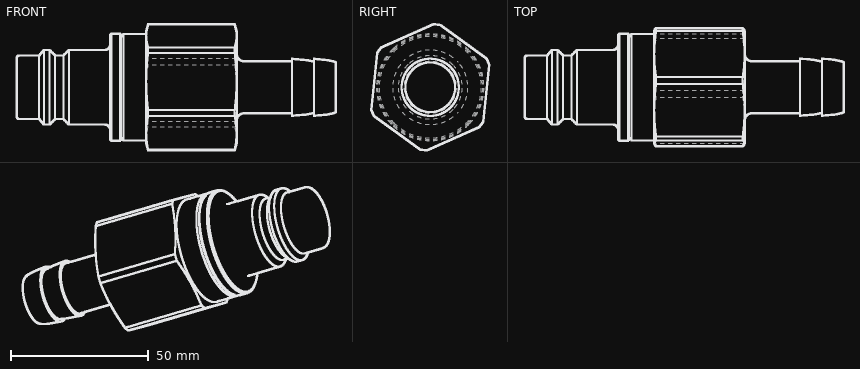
import cadquery as cq
import math

TOTAL_LENGTH = 116.0
RIB_START = 8.2
RIB_TOP_START = 9.9
RIB_TOP_END = 12.0
GROOVE_START = 14.0
GROOVE_END = 17.0
PLUG_BODY_START = 19.0
FLANGE_START = 34.0
FLANGE_END = 38.0
HEX_START = 47.0
HEX_END = 80.0
BARB_STARTS = (100.0, 108.0)

PLUG_TIP_DIAMETER = 23.15
PLUG_BODY_DIAMETER = 27.2
FLANGE_DIAMETER = 39.0
COLLAR_DIAMETER = 38.8
STEM_DIAMETER = 19.0
BARB_DIAMETER = 20.8
BARB_FOOT_DIAMETER = 18.8

TIP_FILLET = 0.9
FLANGE_CHAMFER = 0.5
COLLAR_CHAMFER = 0.9
FLANGE_FILLET = 2.0
STEM_FILLET = 2.75
STEM_FILLET_DIAMETER = 23.15
HOSE_END_CHAMFER_LENGTH = 0.6
HOSE_END_CHAMFER_DEPTH = 0.35
BARB_BULGE = 0.25

HEX_ACROSS_FLATS = 41.0
HEX_CORNER_DIAMETER = 45.95
HEX_ROTATION = -6.0
CROWN_FACE_DIAMETER = 40.4
CROWN_ANGLE = 15.0


def make_plug():
    """Plug tip, locking rib, groove, flange and collar, turned about X."""
    tip = PLUG_TIP_DIAMETER / 2
    body = PLUG_BODY_DIAMETER / 2
    flange = FLANGE_DIAMETER / 2
    collar = COLLAR_DIAMETER / 2
    tip_bend = TIP_FILLET * math.sqrt(0.5)
    bend = FLANGE_FILLET * math.sqrt(0.5)
    profile = (
        cq.Workplane("XY")
        .moveTo(0, 0)
        .lineTo(0, tip - TIP_FILLET)
        .threePointArc((TIP_FILLET - tip_bend, tip - TIP_FILLET + tip_bend), (TIP_FILLET, tip))
        .lineTo(RIB_START, tip)
        .lineTo(RIB_TOP_START, body)
        .lineTo(RIB_TOP_END, body)
        .lineTo(GROOVE_START, tip)
        .lineTo(GROOVE_END, tip)
        .lineTo(PLUG_BODY_START, body)
        .lineTo(FLANGE_START - FLANGE_FILLET, body)
        .threePointArc(
            (FLANGE_START - FLANGE_FILLET + bend, body + FLANGE_FILLET - bend),
            (FLANGE_START, body + FLANGE_FILLET),
        )
        .lineTo(FLANGE_START, flange - FLANGE_CHAMFER)
        .lineTo(FLANGE_START + FLANGE_CHAMFER, flange)
        .lineTo(FLANGE_END - FLANGE_CHAMFER, flange)
        .lineTo(FLANGE_END, flange - FLANGE_CHAMFER)
        .lineTo(FLANGE_END, collar - COLLAR_CHAMFER)
        .lineTo(FLANGE_END + COLLAR_CHAMFER, collar)
        .lineTo(HEX_START, collar)
        .lineTo(HEX_START, 0)
        .close()
    )
    return profile.revolve(360, (0, 0, 0), (1, 0, 0))


def make_hexagon():
    """Hexagon with turned corners and a conical crown on both ends."""
    corner = HEX_CORNER_DIAMETER / 2
    crown_face = CROWN_FACE_DIAMETER / 2
    crown_length = (corner - crown_face) * math.tan(math.radians(CROWN_ANGLE))
    prism = (
        cq.Workplane("YZ", origin=(HEX_START, 0, 0))
        .polygon(6, HEX_ACROSS_FLATS, circumscribed=True)
        .extrude(HEX_END - HEX_START)
        .rotate((0, 0, 0), (1, 0, 0), HEX_ROTATION)
    )
    turned_blank = (
        cq.Workplane("XY")
        .moveTo(HEX_START, 0)
        .lineTo(HEX_START, crown_face)
        .lineTo(HEX_START + crown_length, corner)
        .lineTo(HEX_END - crown_length, corner)
        .lineTo(HEX_END, crown_face)
        .lineTo(HEX_END, 0)
        .close()
        .revolve(360, (0, 0, 0), (1, 0, 0))
    )
    return prism.intersect(turned_blank)


def make_hose_stem():
    """Hose stem with a blended root and two barbs, turned about X."""
    stem = STEM_DIAMETER / 2
    barb = BARB_DIAMETER / 2
    foot = BARB_FOOT_DIAMETER / 2
    root = STEM_FILLET_DIAMETER / 2
    centre_radius = stem + STEM_FILLET
    sweep = math.acos((centre_radius - root) / STEM_FILLET)
    tangent_x = HEX_END + STEM_FILLET * math.sin(sweep)
    arc_middle = (
        tangent_x - STEM_FILLET * math.sin(sweep / 2),
        centre_radius - STEM_FILLET * math.cos(sweep / 2),
    )
    profile = (
        cq.Workplane("XY")
        .moveTo(HEX_END, 0)
        .lineTo(HEX_END, root)
        .threePointArc(arc_middle, (tangent_x, stem))
        .lineTo(BARB_STARTS[0], stem)
    )
    barb_ends = BARB_STARTS[1:] + (TOTAL_LENGTH - HOSE_END_CHAMFER_LENGTH,)
    for start, end in zip(BARB_STARTS, barb_ends):
        middle = ((start + end) / 2, (barb + foot) / 2 + BARB_BULGE)
        profile = profile.lineTo(start, barb).threePointArc(middle, (end, foot))
    profile = (
        profile
        .lineTo(TOTAL_LENGTH, foot - HOSE_END_CHAMFER_DEPTH)
        .lineTo(TOTAL_LENGTH, 0)
        .close()
    )
    return profile.revolve(360, (0, 0, 0), (1, 0, 0))


result = make_plug().union(make_hexagon()).union(make_hose_stem())